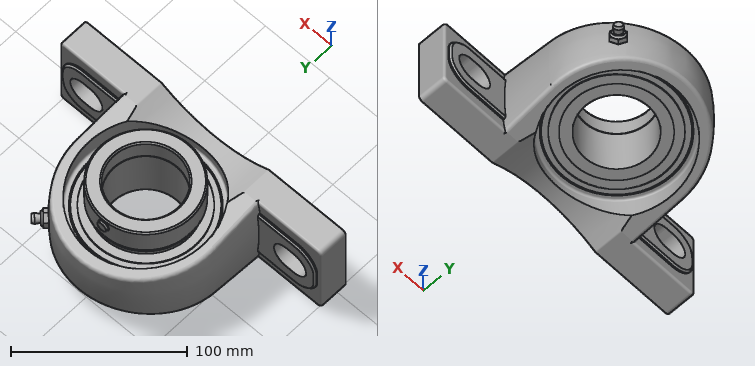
import cadquery as cq
import math


foot_length = 204.0
foot_depth = 59.2
axis_height = 57.1
foot_thickness = 20.2
foot_bottom = -axis_height
foot_top = foot_bottom + foot_thickness
corner_radius = 3.0
foot_edge_radius = 1.6
bolt_spacing = 159.0
slot_length = 25.0
slot_width = 20.0
pad_end_x = 99.0
pad_width = 40.0
pad_height = 2.0
pad_corner_radius = 15.7
pad_edge_chamfer = 1.2

tower_radius = 55.3
crown_radius = 167.3
wedge_angle = 8.0
tower_edge_radius = 2.5
waist_depth = 36.7
waist_chord = 83.6
waist_lip_radius = 2.5

counterbore_diameter = 93.6
seat_ledge_fillet = 1.5

shaft_diameter = 50.0
outer_ring_diameter = 90.0
outer_ring_width = 22.8
outer_ring_bore = 76.3
outer_ring_chamfer = 0.8
seal_diameter = 77.5
seal_seat_depth = 2.0
seal_rise = 0.8
inner_ring_diameter = 65.3
race_top = 14.9
shoulder_diameter = 64.5
neck_diameter = 59.4
neck_length = 3.5

collar_diameter = 70.0
collar_bottom = 20.5
collar_top = 38.1
collar_recess_depth = 4.0
collar_chamfer = 1.0
bore_chamfer = 1.0
screw_diameter = 6.7
screw_mouth_diameter = 8.0
screw_z = 31.2
screw_inner_radius = 31.0
screw_outer_radius = 36.3

nipple_angle = 45.0
nipple_shank_diameter = 6.7
nipple_shank_start = 50.0
nipple_hex_start = 54.9
nipple_hex_end = 58.1
nipple_hex_width = 10.0
nipple_cone_diameter = 8.0
nipple_cone_end = 59.5
nipple_neck_diameter = 5.5
nipple_neck_end = 60.2
nipple_head_diameter = 6.5
nipple_head_end = 63.0
nipple_tip_diameter = 5.5
nipple_tip_end = 64.9

half_depth = foot_depth / 2
ring_half_width = outer_ring_width / 2
through_length = 2 * foot_length


def turned(points):
    """Solid of revolution about Z from (radius, z) points."""
    return cq.Workplane("XZ").polyline(points).close().revolve(360, (0, 0, 0), (0, 1, 0))


def tube(outer_diameter, inner_diameter, z_low, z_high):
    return (
        cq.Workplane("XY", origin=(0, 0, z_low))
        .circle(outer_diameter / 2)
        .circle(inner_diameter / 2)
        .extrude(z_high - z_low)
    )


def make_foot():
    foot = (
        cq.Workplane("XZ", origin=(0, foot_top, 0))
        .rect(foot_length, foot_depth)
        .extrude(foot_thickness)
        .edges("|Y")
        .fillet(corner_radius)
    )
    foot = foot.faces(">Y").edges().fillet(foot_edge_radius)
    pad = (
        cq.Workplane("XZ", origin=(0, foot_top + pad_height, 0))
        .rect(2 * pad_end_x, pad_width)
        .extrude(pad_height + foot_thickness / 2)
        .edges("|Y")
        .fillet(pad_corner_radius)
        .faces(">Y")
        .chamfer(pad_edge_chamfer)
    )
    return foot.union(pad)


def make_tower():
    wall_radius = crown_wall_radius(half_depth)
    half_section = (
        cq.Workplane("XZ")
        .moveTo(0, -half_depth)
        .lineTo(wall_radius, -half_depth)
        .threePointArc((tower_radius, 0), (wall_radius, half_depth))
        .lineTo(0, half_depth)
        .close()
    )
    arch = half_section.revolve(360, (0, 0, 0), (0, 1, 0))
    legs = (
        cq.Workplane("XZ")
        .moveTo(-wall_radius, -half_depth)
        .lineTo(wall_radius, -half_depth)
        .threePointArc((tower_radius, 0), (wall_radius, half_depth))
        .lineTo(-wall_radius, half_depth)
        .threePointArc((-tower_radius, 0), (-wall_radius, -half_depth))
        .close()
        .extrude(axis_height)
    )
    tip_half_depth = half_depth - (tower_radius - foot_top) * math.tan(math.radians(wedge_angle))
    wedge = (
        cq.Workplane("YZ")
        .polyline([
            (foot_bottom, -half_depth),
            (foot_top, -half_depth),
            (tower_radius, -tip_half_depth),
            (tower_radius, tip_half_depth),
            (foot_top, half_depth),
            (foot_bottom, half_depth),
        ])
        .close()
        .extrude(foot_length / 2, both=True)
    )
    tower = arch.union(legs).intersect(wedge)
    rims = tower.edges().filter(lambda e: e.Center().y > foot_top and abs(e.Center().z) > half_depth / 3)
    return rims.fillet(tower_edge_radius)


def crown_wall_radius(z):
    return tower_radius - crown_radius + math.sqrt(crown_radius ** 2 - z ** 2)


def cut_waist(body):
    sagitta = half_depth - waist_depth / 2
    waist_radius = ((waist_chord / 2) ** 2 + sagitta ** 2) / (2 * sagitta)
    for side in (-1, 1):
        hollow = (
            cq.Workplane("XZ", origin=(0, tower_radius, 0))
            .center(0, side * (waist_depth / 2 + waist_radius))
            .circle(waist_radius)
            .extrude(through_length)
        )
        body = body.cut(hollow)
    lips = body.edges("|Y").filter(
        lambda e: abs(abs(e.Center().x) - waist_chord / 2) < waist_lip_radius
        and abs(e.Center().z) > half_depth - waist_lip_radius
    )
    return lips.fillet(waist_lip_radius)


def make_housing(nipple):
    housing = cut_waist(make_foot().union(make_tower()))
    slots = (
        cq.Workplane("XZ", origin=(0, tower_radius, 0))
        .pushPoints([(-bolt_spacing / 2, 0), (bolt_spacing / 2, 0)])
        .slot2D(slot_length, slot_width)
        .extrude(through_length)
    )
    opening = (
        cq.Workplane("XY", origin=(0, 0, ring_half_width))
        .circle(counterbore_diameter / 2)
        .extrude(half_depth - ring_half_width)
        .faces("<Z")
        .edges()
        .fillet(seat_ledge_fillet)
    )
    seat = cq.Workplane("XY").sphere(outer_ring_diameter / 2)
    housing = housing.cut(slots).cut(opening).cut(opening.mirror("XY")).cut(seat)
    return housing.cut(nipple)


def make_outer_ring():
    ring = cq.Workplane("XY").sphere(outer_ring_diameter / 2)
    ring = ring.intersect(tube(outer_ring_diameter, outer_ring_bore, -ring_half_width, ring_half_width))
    for side in (-1, 1):
        inner_face = side * (ring_half_width - seal_seat_depth)
        recess = (
            cq.Workplane("XY", origin=(0, 0, inner_face))
            .circle(seal_diameter / 2)
            .extrude(side * seal_seat_depth)
        )
        ring = ring.cut(recess)
    rims = ring.faces("|Z").edges().filter(lambda e: e.radius() > seal_diameter / 2 + outer_ring_chamfer)
    return rims.chamfer(outer_ring_chamfer)


def make_seal(side):
    inner_face = ring_half_width - seal_seat_depth
    outer_face = ring_half_width + seal_rise
    upper = tube(seal_diameter, inner_ring_diameter, inner_face, outer_face)
    return upper if side > 0 else upper.mirror("XY")


def make_inner_ring():
    race_bottom = -(ring_half_width + seal_rise)
    race = tube(inner_ring_diameter, shaft_diameter, race_bottom, race_top)
    shoulder = tube(shoulder_diameter, shaft_diameter, race_top, collar_bottom)
    neck = tube(neck_diameter, shaft_diameter, collar_bottom, collar_bottom + neck_length)
    return race.union(shoulder).union(neck)


def make_collar():
    collar = tube(collar_diameter, shaft_diameter, collar_bottom, collar_top)
    outer_rim = cq.selectors.RadiusNthSelector(-1)
    bore_rim = cq.selectors.RadiusNthSelector(0)
    collar = collar.faces(">Z").edges(outer_rim).chamfer(collar_chamfer)
    collar = collar.faces(">Z").edges(bore_rim).chamfer(bore_chamfer)
    recess = tube(neck_diameter, shaft_diameter, collar_bottom, collar_bottom + collar_recess_depth)
    screw_hole = screw_cylinder(screw_diameter, 0, collar_diameter)
    mouth_depth = (screw_mouth_diameter - screw_diameter) / 2
    screw_mouth = screw_cylinder(screw_mouth_diameter, collar_diameter / 2 - mouth_depth, collar_diameter)
    return collar.cut(recess).cut(screw_hole).cut(screw_mouth)


def screw_cylinder(diameter, start, end):
    """Cylinder on the set-screw axis, from start to end along +Y."""
    return (
        cq.Workplane("XZ", origin=(0, start, screw_z))
        .circle(diameter / 2)
        .extrude(start - end)
    )


def make_nipple():
    turned_part = turned([
        (0, nipple_shank_start),
        (nipple_shank_diameter / 2, nipple_shank_start),
        (nipple_shank_diameter / 2, nipple_hex_end),
        (nipple_hex_width / 2, nipple_hex_end),
        (nipple_cone_diameter / 2, nipple_cone_end),
        (nipple_neck_diameter / 2, nipple_cone_end),
        (nipple_neck_diameter / 2, nipple_neck_end),
        (nipple_head_diameter / 2, nipple_head_end),
        (nipple_tip_diameter / 2, nipple_tip_end),
        (0, nipple_tip_end),
    ])
    hex_corner_diameter = nipple_hex_width / math.cos(math.pi / 6)
    hexagon = (
        cq.Workplane("XY", origin=(0, 0, nipple_hex_start))
        .polygon(6, hex_corner_diameter)
        .extrude(nipple_hex_end - nipple_hex_start)
    )
    nipple = turned_part.union(hexagon)
    nipple = nipple.rotate((0, 0, 0), (0, 1, 0), 90)
    return nipple.rotate((0, 0, 0), (0, 0, 1), nipple_angle)


grease_nipple = make_nipple()
housing = make_housing(grease_nipple)
outer_ring = make_outer_ring()
inner_ring = make_inner_ring()
seals = [make_seal(side) for side in (-1, 1)]
collar = make_collar()
set_screw = screw_cylinder(screw_diameter, screw_inner_radius, screw_outer_radius)

result = cq.Compound.makeCompound([
    housing.val(),
    grease_nipple.val(),
    outer_ring.val(),
    inner_ring.val(),
    *[seal.val() for seal in seals],
    collar.val(),
    set_screw.val(),
])